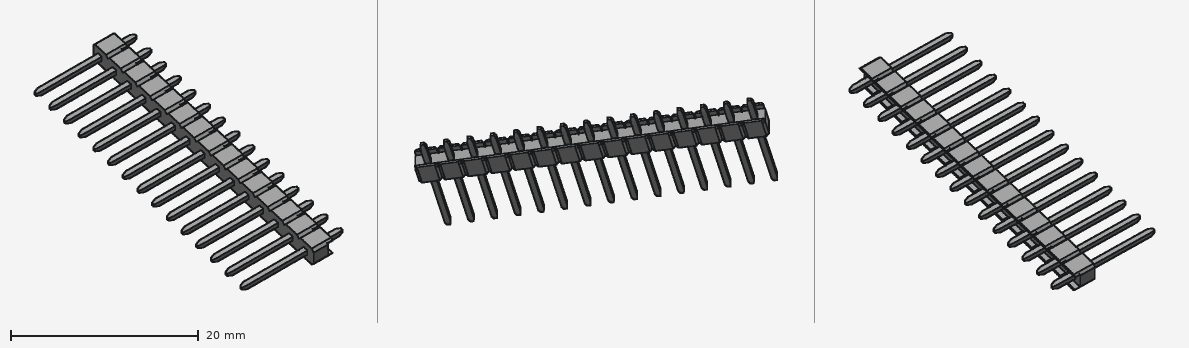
import cadquery as cq

pin_count = 15
row_length = 38.1
pitch = row_length / pin_count

housing_depth = 2.63
housing_height = 2.5
bevel_height = 0.362
left_bevel_width = 0.25
right_bevel_width = 0.35

channel_depth = 0.7
lip_thickness = 0.285

pin_length = 13.6
pin_front_reach = 8.72
pin_width = 0.65
pin_offset = 1.15
tip_length = 0.57
tip_width = 0.35


def make_cell(left):
    """One housing cell: an octagonal outline extruded backwards from Y = 0."""
    right = left + pitch
    top = housing_height / 2
    shoulder = top - bevel_height
    flat_left = left + left_bevel_width
    flat_right = right - right_bevel_width
    outline = [
        (left, -shoulder),
        (flat_left, -top),
        (flat_right, -top),
        (right, -shoulder),
        (right, shoulder),
        (flat_right, top),
        (flat_left, top),
        (left, shoulder),
    ]
    return cq.Workplane("XZ").polyline(outline).close().extrude(-housing_depth)


def make_channel():
    """Cutter for the open channel along the back of the housing."""
    channel_height = housing_height - 2 * lip_thickness
    return (
        cq.Workplane("XY")
        .box(row_length, channel_depth, channel_height)
        .translate((0, housing_depth - channel_depth / 2, 0))
    )


def make_pin(axis_x):
    """Pin with tapered ends: the overlap of its side profile and its top profile."""
    front = -pin_front_reach
    back = front + pin_length
    half = pin_width / 2
    half_tip = tip_width / 2
    profile = [
        (-half_tip, front),
        (half_tip, front),
        (half, front + tip_length),
        (half, back - tip_length),
        (half_tip, back),
        (-half_tip, back),
        (-half, back - tip_length),
        (-half, front + tip_length),
    ]
    across_x = cq.Workplane("XY").polyline(profile).close().extrude(half, both=True)
    across_z = across_x.rotate((0, 0, 0), (0, 1, 0), 90)
    return across_x.intersect(across_z).translate((axis_x, 0, 0))


cell_lefts = [-row_length / 2 + i * pitch for i in range(pin_count)]

housing = make_cell(cell_lefts[0])
for cell_left in cell_lefts[1:]:
    housing = housing.union(make_cell(cell_left))

result = housing.cut(make_channel())
for cell_left in cell_lefts:
    result = result.union(make_pin(cell_left + pin_offset))